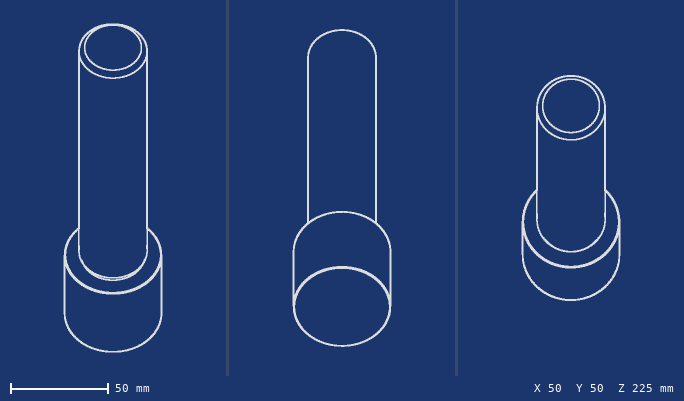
import cadquery as cq

total_height = 225.0
head_diameter = 50.0
head_height = 50.0
head_chamfer = 0.5
shank_diameter = 35.0
tip_chamfer = 3.0
neck_diameter = 32.8
neck_height = 3.4

head_radius = head_diameter / 2
shank_radius = shank_diameter / 2
neck_radius = neck_diameter / 2
neck_top = head_height + neck_height

profile = (
    cq.Workplane("XZ")
    .moveTo(0, 0)
    .lineTo(head_radius - head_chamfer, 0)
    .lineTo(head_radius, head_chamfer)
    .lineTo(head_radius, head_height - head_chamfer)
    .lineTo(head_radius - head_chamfer, head_height)
    .lineTo(neck_radius, head_height)
    .lineTo(neck_radius, neck_top)
    .lineTo(shank_radius, neck_top)
    .lineTo(shank_radius, total_height - tip_chamfer)
    .lineTo(shank_radius - tip_chamfer, total_height)
    .lineTo(0, total_height)
    .close()
)

result = profile.revolve(360, (0, 0, 0), (0, 1, 0))